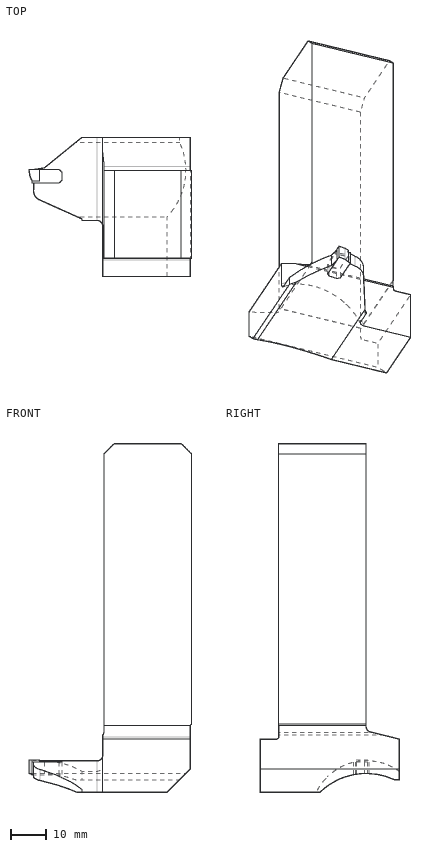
import cadquery as cq
import math

total_height = 99.3
shank_width = 25.0
shank_left = 0.3
shank_front = 5.2
shank_right = shank_left + shank_width
shank_back = shank_front + shank_width
top_chamfer = 3

head_width = 24.9
head_depth = 39.6
shoulder_height = 15.2
back_slope = 14
back_fillet = 1.5
front_fillet = 0.6
heel_chamfer = 6.7
left_step_height = 16.3
left_bevel_height = 0.7
neck_top = 19.1
neck_bevel_height = 0.4
neck_relief = 0.1

arch_top_radius = 15.9
arch_top_y = 30.3
arch_top_height = 9.0
arch_under_radius = 18.9
arch_under_y = 30.2
arch_under_height = 5.4
root_fillet = 1.6
back_relief_y = 38.0
back_relief_height = 3.6
blade_shoulder_x = -6
blade_nose_x = -19.7
blade_tip_back = (-16.6, 31.0)
nose_start_y = 25.0
nose_middle = (-19.4, 23.0)
nose_end = (-17.9, 21.7)
blade_front_y = 16.4

insert_tip_x = -21.1
insert_front_x = -20.2
insert_end_x = -11.6
insert_front_y = 26.6
insert_back_y = 30.5
insert_top = 8.6
insert_end_chamfer = 0.8
tip_front_y = 27.2
tip_end_x = -18.1
tip_bend = (-20.8, 28.6)
tip_top = 9.2

head_back_rise = (head_depth - shank_back) * math.tan(math.radians(back_slope))


def box(x0, x1, y0, y1, z0, z1):
    """Box given by its limits along each axis."""
    return cq.Workplane("XY").box(x1 - x0, y1 - y0, z1 - z0, centered=False).translate((x0, y0, z0))


def cylinder_along_x(x0, x1, y, top, radius):
    """Cylinder parallel to X whose highest line lies at height `top`."""
    return cq.Workplane("YZ", origin=(x0, 0, 0)).center(y, top - radius).circle(radius).extrude(x1 - x0)


def under_arch():
    """Space below the blade, running through the whole head."""
    arch = cylinder_along_x(insert_tip_x, shank_right, arch_under_y, arch_under_height, arch_under_radius)
    relief = box(insert_tip_x, shank_right, back_relief_y, head_depth, 0, back_relief_height)
    return arch.union(relief)


def side_profile():
    """Head and shank as seen along X, extruded over the full width."""
    profile = (
        cq.Workplane("YZ")
        .moveTo(0, 0)
        .lineTo(head_depth, 0)
        .lineTo(head_depth, shoulder_height)
        .lineTo(shank_back, shoulder_height + head_back_rise)
        .lineTo(shank_back, total_height)
        .lineTo(shank_front, total_height)
        .lineTo(shank_front, neck_top)
        .lineTo(shank_front + neck_relief, neck_top)
        .lineTo(shank_front + neck_relief, shoulder_height)
        .lineTo(0, shoulder_height)
        .close()
        .extrude(shank_right)
    )
    middle_x = shank_right / 2
    back_corner = (middle_x, shank_back, shoulder_height + head_back_rise)
    front_corner = (middle_x, shank_front + neck_relief, shoulder_height)
    profile = profile.edges(cq.selectors.NearestToPointSelector(back_corner)).fillet(back_fillet)
    return profile.edges(cq.selectors.NearestToPointSelector(front_corner)).fillet(front_fillet)


def front_profile():
    """Head and shank as seen along Y, extruded over the full depth."""
    return (
        cq.Workplane("XZ")
        .moveTo(0, 0)
        .lineTo(head_width - heel_chamfer, 0)
        .lineTo(head_width, heel_chamfer)
        .lineTo(head_width, neck_top)
        .lineTo(shank_right, neck_top + neck_bevel_height)
        .lineTo(shank_right, total_height - top_chamfer)
        .lineTo(shank_right - top_chamfer, total_height)
        .lineTo(shank_left + top_chamfer, total_height)
        .lineTo(shank_left, total_height - top_chamfer)
        .lineTo(shank_left, left_step_height + left_bevel_height)
        .lineTo(0, left_step_height)
        .close()
        .extrude(-head_depth)
    )


def blade():
    """Arched blade trimmed to its pointed plan outline."""
    outline = (
        cq.Workplane("XY")
        .moveTo(0, head_depth)
        .lineTo(blade_shoulder_x, head_depth)
        .lineTo(*blade_tip_back)
        .lineTo(blade_nose_x, insert_back_y)
        .lineTo(blade_nose_x, nose_start_y)
        .threePointArc(nose_middle, nose_end)
        .lineTo(blade_shoulder_x, blade_front_y)
        .lineTo(blade_shoulder_x, 0)
        .lineTo(0, 0)
        .close()
        .extrude(shoulder_height)
    )
    arch = cylinder_along_x(insert_tip_x, 0, arch_top_y, arch_top_height, arch_top_radius)
    return outline.intersect(arch.union(blade_root()))


def blade_root():
    """Flared ring that blends the blade into the head face."""
    outer_radius = arch_top_radius + root_fillet
    diagonal = root_fillet * (1 - math.sqrt(0.5))
    return (
        cq.Workplane("XY")
        .moveTo(0, 0)
        .lineTo(-root_fillet, 0)
        .lineTo(-root_fillet, arch_top_radius)
        .threePointArc((-diagonal, arch_top_radius + diagonal), (0, outer_radius))
        .close()
        .revolve(360, (0, 0, 0), (1, 0, 0))
        .translate((0, arch_top_y, arch_top_height - arch_top_radius))
    )


def make_insert():
    """Insert seated in the blade, with a raised cutting tip."""
    seat = (
        box(insert_front_x, insert_end_x, insert_front_y, insert_back_y, 0, insert_top)
        .edges("|Z and >X")
        .chamfer(insert_end_chamfer)
    )
    tip = (
        cq.Workplane("XY")
        .moveTo(insert_tip_x, insert_back_y)
        .lineTo(*tip_bend)
        .lineTo(insert_front_x, tip_front_y)
        .lineTo(tip_end_x, tip_front_y)
        .lineTo(tip_end_x, insert_back_y)
        .close()
        .extrude(tip_top)
    )
    return seat.union(tip).cut(under_arch())


def make_holder():
    """Shank, head and blade with an open seat for the insert."""
    holder = side_profile().intersect(front_profile()).union(blade()).cut(under_arch())
    seat_space = (
        box(insert_tip_x, insert_end_x, insert_front_y, insert_back_y, 0, shoulder_height)
        .edges("|Z and >X")
        .chamfer(insert_end_chamfer)
    )
    return holder.cut(seat_space)


holder = make_holder()
insert = make_insert()
result = cq.Compound.makeCompound([holder.val(), insert.val()])